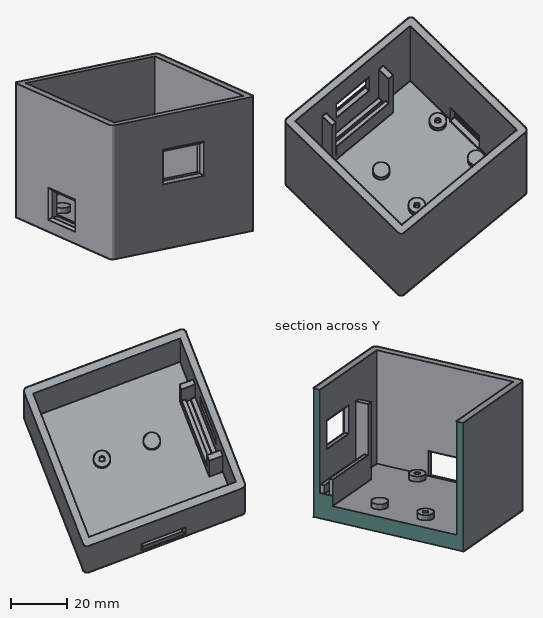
import cadquery as cq

SIDE = 61.5
HEIGHT = 50.0
CORNER_RADIUS = 1.55
SIDE_WALL = 2.8
END_WALL = 3.0
FLOOR = 6.0
INNER_X = SIDE / 2 - SIDE_WALL
INNER_Y = SIDE / 2 - END_WALL

FLARE = 1.0
FRONT_WINDOW_WIDTH = 15.0
FRONT_WINDOW_HEIGHT = 10.0
FRONT_WINDOW_X = -0.7
FRONT_WINDOW_BOTTOM = 5.5
SILL_RUNOUT = 0.3
SIDE_WINDOW_WIDTH = 15.75
SIDE_WINDOW_HEIGHT = 11.0
SIDE_WINDOW_BOTTOM = 25.2

BOSS_DIAMETER = 6.0
BOSS_HEIGHT = 2.0
BOSS_HOLE_DIAMETER = 2.0
DRILLED_BOSSES = [(-10.65, 4.55), (9.0, -23.6)]
PLAIN_BOSSES = [(8.25, 4.35), (-11.15, -23.6)]

HOLDER_WIDTH = 29.5
HOLDER_DEPTH = 5.15
HOLDER_TOP = 36.0
SHELF_WIDTH = 25.1
POST_GAP = 0.3
LIP_TOP = 16.25
LIP_THICKNESS = 1.55
GROOVE_WIDTH = 1.9
GROOVE_BOTTOM = 10.0
BACK_LEDGE_TOP = 13.2
HOLDER_FACE = INNER_X - HOLDER_DEPTH


def block(x_range, y_range, z_range):
    """Box spanning the given ranges."""
    (x0, x1), (y0, y1), (z0, z1) = x_range, y_range, z_range
    return cq.Workplane("XY").box(x1 - x0, y1 - y0, z1 - z0, centered=False).translate((x0, y0, z0))


def window_cutter(width, height, depth):
    """Flared opening that starts in the XY plane and runs along +Z."""
    passage = cq.Workplane("XY").rect(width, height).extrude(depth)
    flare = (
        cq.Workplane("XY")
        .rect(width + 2 * FLARE, height + 2 * FLARE)
        .workplane(offset=FLARE)
        .rect(width, height)
        .loft(ruled=True)
    )
    return passage.union(flare)


def make_box():
    outer = cq.Workplane("XY").box(SIDE, SIDE, HEIGHT, centered=(True, True, False))
    outer = outer.edges("|Z").fillet(CORNER_RADIUS)
    return outer.cut(block((-INNER_X, INNER_X), (-INNER_Y, INNER_Y), (FLOOR, HEIGHT)))


def make_holder():
    groove_start = HOLDER_FACE + LIP_THICKNESS
    groove_end = groove_start + GROOVE_WIDTH
    half_width = HOLDER_WIDTH / 2
    half_shelf = SHELF_WIDTH / 2
    shelf = (-half_shelf, half_shelf)
    slit = (half_shelf, half_shelf + POST_GAP)
    channel = (-half_shelf, half_shelf + POST_GAP)

    holder = block((HOLDER_FACE, INNER_X), (-half_width, half_width), (FLOOR, HOLDER_TOP))
    holder = holder.cut(block((HOLDER_FACE, INNER_X), channel, (LIP_TOP, HOLDER_TOP)))
    holder = holder.cut(block((groove_start, groove_end), shelf, (GROOVE_BOTTOM, LIP_TOP)))
    holder = holder.cut(block((HOLDER_FACE, INNER_X), slit, (GROOVE_BOTTOM, LIP_TOP)))
    return holder.cut(block((groove_end, INNER_X), shelf, (BACK_LEDGE_TOP, LIP_TOP)))


def make_bosses():
    return (
        cq.Workplane("XY", origin=(0, 0, FLOOR))
        .pushPoints(DRILLED_BOSSES + PLAIN_BOSSES)
        .circle(BOSS_DIAMETER / 2)
        .extrude(BOSS_HEIGHT)
    )


def make_boss_holes():
    return (
        cq.Workplane("XY", origin=(0, 0, FLOOR))
        .pushPoints(DRILLED_BOSSES)
        .circle(BOSS_HOLE_DIAMETER / 2)
        .extrude(BOSS_HEIGHT)
    )


def make_front_window():
    cutter = window_cutter(FRONT_WINDOW_WIDTH, FRONT_WINDOW_HEIGHT, END_WALL + SILL_RUNOUT)
    cutter = cutter.rotate((0, 0, 0), (1, 0, 0), -90)
    middle_z = FRONT_WINDOW_BOTTOM + FRONT_WINDOW_HEIGHT / 2
    return cutter.translate((FRONT_WINDOW_X, -SIDE / 2, middle_z))


def make_side_window():
    cutter = window_cutter(SIDE_WINDOW_HEIGHT, SIDE_WINDOW_WIDTH, SIDE_WALL)
    cutter = cutter.rotate((0, 0, 0), (0, 1, 0), -90)
    middle_z = SIDE_WINDOW_BOTTOM + SIDE_WINDOW_HEIGHT / 2
    return cutter.translate((SIDE / 2, 0, middle_z))


result = (
    make_box()
    .union(make_holder())
    .union(make_bosses())
    .cut(make_boss_holes())
    .cut(make_front_window())
    .cut(make_side_window())
)